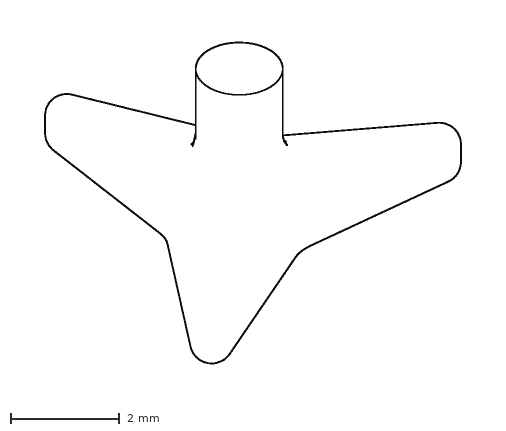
import cadquery as cq
import math

arm_count = 3
overall_width = 7.7
tip_radius = 0.4
taper_angle = 15
valley_radius = 1.0
plate_height = 1.2
tip_flat = 0.001
shaft_radius = 0.8
total_height = 3.7
shaft_blend_radius = 1.0
joint_tolerance = 0.01

first_arm_angle = 90
arm_pitch = 360 / arm_count
tip_distance = (overall_width / 2 - tip_radius) / math.sin(math.radians(arm_pitch / 2))
edge_radius = tip_radius - tip_flat


def polar_point(distance, angle):
    """Point in the XY plane at a distance and angle (degrees) from the axis."""
    radians = math.radians(angle)
    return (distance * math.cos(radians), distance * math.sin(radians))


def star_points():
    """Star through the tip centres; its flanks run parallel to the arm flanks."""
    taper = math.radians(taper_angle)
    valley_turn = math.radians(arm_pitch / 2 + taper_angle)
    valley_distance = tip_distance * math.sin(taper) / math.sin(valley_turn)
    points = []
    for arm in range(arm_count):
        angle = first_arm_angle + arm * arm_pitch
        points.append(polar_point(tip_distance, angle))
        points.append(polar_point(valley_distance, angle + arm_pitch / 2))
    return points


def make_plate():
    """Three tapered arms with rounded tips, valleys and outer edges."""
    plate = (
        cq.Workplane("XY")
        .polyline(star_points())
        .close()
        .offset2D(tip_radius)
        .extrude(plate_height)
    )
    valley_zone = cq.selectors.BoxSelector(
        (-tip_distance / 2, -tip_distance / 2, 0),
        (tip_distance / 2, tip_distance / 2, plate_height),
    )
    plate = plate.edges("|Z").edges(valley_zone).fillet(valley_radius)
    return plate.faces("<Z or >Z").edges().fillet(edge_radius)


def add_shaft(plate):
    """Round shaft on the axis, blended into the top of the plate."""
    shaft = cq.Workplane("XY").circle(shaft_radius).extrude(total_height)
    body = plate.union(shaft)
    joint_zone = cq.selectors.BoxSelector(
        (-shaft_radius, -shaft_radius, plate_height - joint_tolerance),
        (shaft_radius, shaft_radius, plate_height + joint_tolerance),
    )
    joint = body.edges(joint_zone).edges("%CIRCLE")
    return joint.fillet(shaft_blend_radius)


result = add_shaft(make_plate())